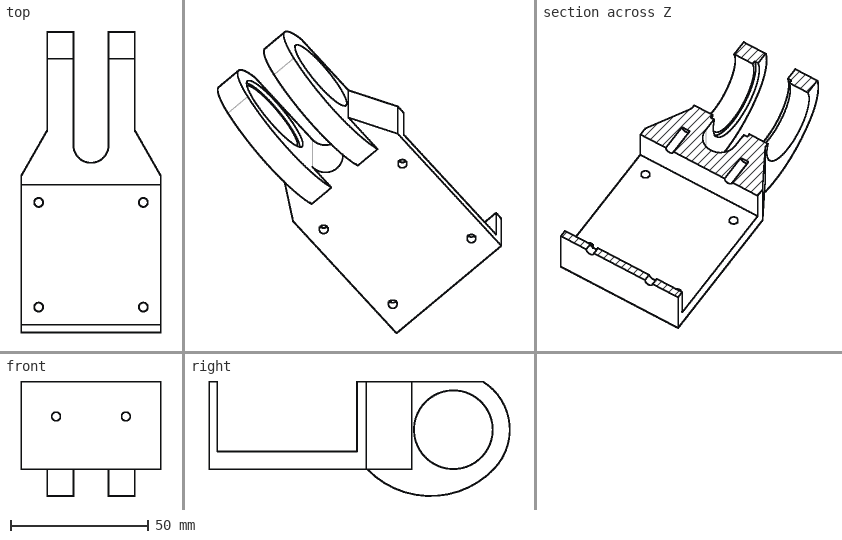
import cadquery as cq
import math

length = 109.5
width = 50.8
body_height = 32.0
lug_drop = 9.7

floor_thickness = 6.6
end_wall_thickness = 3.0
tray_length = width
block_face = end_wall_thickness + tray_length
wall_height = body_height - floor_thickness

arm_width = 9.6
slot_width = 12.7
fork_width = slot_width + 2 * arm_width
taper_start = 57.2
taper_end = 73.7
slot_end = 61.9

ring_radius = 20.6
ring_y = length - ring_radius
ring_z = 14.5
bore_diameter = 28.6
recess_diameter = 31.1
recess_depth = 1.5

belly_radius = 32.0
belly_z = belly_radius - lug_drop
center_distance = belly_radius - ring_radius
belly_y = ring_y - math.sqrt(center_distance**2 - (belly_z - ring_z) ** 2)

screw_diameter = 3.2
floor_hole_pitch = 0.75 * width
wall_hole_pitch = 0.5 * width
wall_hole_z = floor_thickness + wall_height / 2
wall_hole_depth = 11


def cylinder_along_x(diameter, span):
    """Cylinder on the ring axis, centered on X = 0."""
    return (
        cq.Workplane("YZ")
        .center(ring_y, ring_z)
        .circle(diameter / 2)
        .extrude(span / 2, both=True)
    )


def make_tray():
    """Floor and end wall, running back to the start of the taper."""
    floor = cq.Workplane("XY").box(
        width, taper_start, floor_thickness, centered=(True, False, False)
    )
    end_wall = cq.Workplane("XY").box(
        width, end_wall_thickness, body_height, centered=(True, False, False)
    )
    return floor.union(end_wall)


def make_block():
    """Full-height block that narrows to the width of the fork."""
    return (
        cq.Workplane("XY")
        .moveTo(-width / 2, block_face)
        .lineTo(width / 2, block_face)
        .lineTo(width / 2, taper_start)
        .lineTo(fork_width / 2, taper_end)
        .lineTo(-fork_width / 2, taper_end)
        .lineTo(-width / 2, taper_start)
        .close()
        .extrude(body_height)
    )


def make_fork():
    """Side profile of the arms, extruded over the whole fork width."""
    tangent_angle = math.atan2(ring_z - belly_z, ring_y - belly_y)
    tangent_point = (
        belly_y + belly_radius * math.cos(tangent_angle),
        belly_z + belly_radius * math.sin(tangent_angle),
    )
    top_z = body_height - ring_z
    ring_top = (ring_y + math.sqrt(ring_radius**2 - top_z**2), body_height)
    belly_start = (belly_y - math.sqrt(belly_radius**2 - belly_z**2), 0)
    return (
        cq.Workplane("YZ")
        .moveTo(taper_start, body_height)
        .lineTo(taper_start, 0)
        .lineTo(*belly_start)
        .threePointArc((belly_y, -lug_drop), tangent_point)
        .threePointArc((length, ring_z), ring_top)
        .close()
        .extrude(fork_width / 2, both=True)
    )


def make_slot():
    """Slot between the arms, with a round inner end."""
    half_slot = slot_width / 2
    return (
        cq.Workplane("XY", origin=(0, 0, -lug_drop))
        .moveTo(-half_slot, length)
        .lineTo(-half_slot, slot_end + half_slot)
        .threePointArc((0, slot_end), (half_slot, slot_end + half_slot))
        .lineTo(half_slot, length)
        .close()
        .extrude(body_height + lug_drop)
    )


def make_lower_gap():
    """Gap that separates the arms all the way back below the underside."""
    return cq.Workplane("XY", origin=(0, taper_start, -lug_drop)).box(
        slot_width, length - taper_start, lug_drop, centered=(True, False, False)
    )


def make_floor_holes():
    """Four through holes in a square on the floor."""
    return (
        cq.Workplane("XY")
        .center(0, end_wall_thickness + tray_length / 2)
        .rect(floor_hole_pitch, floor_hole_pitch, forConstruction=True)
        .vertices()
        .circle(screw_diameter / 2)
        .extrude(floor_thickness)
    )


def make_wall_holes():
    """Two holes through the end wall that continue into the block."""
    return (
        cq.Workplane("XZ")
        .pushPoints([(side * wall_hole_pitch / 2, wall_hole_z) for side in (-1, 1)])
        .circle(screw_diameter / 2)
        .extrude(-(block_face + wall_hole_depth))
    )


result = (
    make_tray()
    .union(make_block())
    .union(make_fork())
    .cut(make_slot())
    .cut(make_lower_gap())
    .cut(cylinder_along_x(bore_diameter, fork_width))
    .cut(cylinder_along_x(recess_diameter, slot_width + 2 * recess_depth))
    .cut(make_floor_holes())
    .cut(make_wall_holes())
)